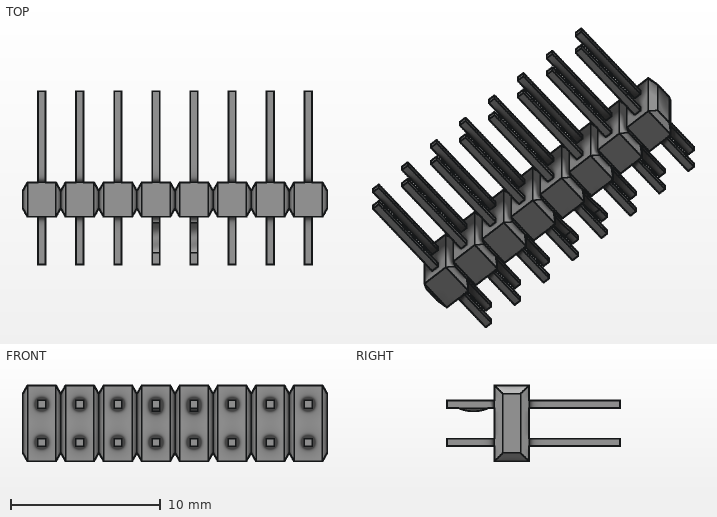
import cadquery as cq

columns = 8
total_length = 20.32
pitch = total_length / columns
row_count = 2
body_height = row_count * pitch
body_depth = 2.32

bevel_run = 0.33
bevel_inset = 0.57

pin_width = 0.5
front_pin_length = 3.17
rear_pin_length = 6.08

bent_columns = (3, 4)
bent_row = 1
bend_span = 2.01
bend_sag = 0.22
bend_to_tip = 0.77

front_face = -body_depth / 2
rear_face = body_depth / 2
pin_front = front_face - front_pin_length
pin_rear = rear_face + rear_pin_length


def column_x(column):
    return (column - (columns - 1) / 2) * pitch


def row_z(row):
    return (row - (row_count - 1) / 2) * pitch


def beveled_end(face_x, outward):
    """Frustum that narrows from the full section to an inset rectangle, along +X or -X."""
    plane = cq.Plane(origin=(face_x, 0, 0), xDir=(0, 1, 0), normal=(outward, 0, 0))
    return (
        cq.Workplane(plane)
        .rect(body_depth, body_height)
        .workplane(offset=bevel_run)
        .rect(body_depth - 2 * bevel_inset, body_height - 2 * bevel_inset)
        .loft(ruled=True)
    )


def housing_block(x):
    """One housing cell: a box with all four edges of both X ends beveled."""
    straight_length = pitch - 2 * bevel_run
    block = cq.Workplane("XY").box(straight_length, body_depth, body_height).translate((x, 0, 0))
    for outward in (-1, 1):
        block = block.union(beveled_end(x + outward * straight_length / 2, outward))
    return block


def straight_pin(x, z):
    pin_length = pin_rear - pin_front
    pin = cq.Workplane("XY").box(pin_width, pin_length, pin_width)
    return pin.translate((x, (pin_front + pin_rear) / 2, z))


def bent_pin(x, z):
    """Pin whose front part bows downward along an arc and returns to its own axis."""
    top = z + pin_width / 2
    bottom = z - pin_width / 2
    bend_start = pin_front + bend_to_tip
    bend_middle = bend_start + bend_span / 2
    bend_end = bend_start + bend_span
    return (
        cq.Workplane("YZ", origin=(x, 0, 0))
        .moveTo(pin_front, top)
        .lineTo(bend_start, top)
        .threePointArc((bend_middle, top - bend_sag), (bend_end, top))
        .lineTo(pin_rear, top)
        .lineTo(pin_rear, bottom)
        .lineTo(bend_end, bottom)
        .threePointArc((bend_middle, bottom - bend_sag), (bend_start, bottom))
        .lineTo(pin_front, bottom)
        .close()
        .extrude(pin_width / 2, both=True)
    )


header = housing_block(column_x(0))
for column in range(1, columns):
    header = header.union(housing_block(column_x(column)))

for column in range(columns):
    for row in range(row_count):
        is_bent = row == bent_row and column in bent_columns
        make_pin = bent_pin if is_bent else straight_pin
        header = header.union(make_pin(column_x(column), row_z(row)))

result = header